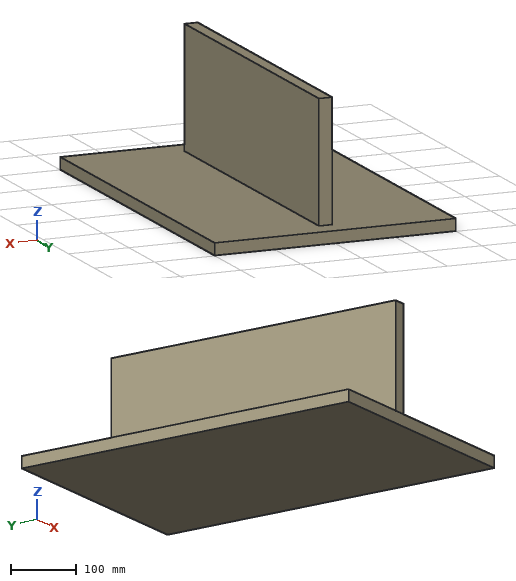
import cadquery as cq

PLATE_WIDTH = 400.0
PLATE_LENGTH = 600.0
PLATE_THICKNESS = 20.0

WEB_THICKNESS = 22.0
WEB_LENGTH = 522.0
WEB_HEIGHT = 200.0
WEB_FRONT_SETBACK = 40.25


def make_base_plate():
    return cq.Workplane("XY").box(
        PLATE_WIDTH, PLATE_LENGTH, PLATE_THICKNESS, centered=(True, True, False)
    )


def make_web():
    web_start_y = -PLATE_LENGTH / 2 + WEB_FRONT_SETBACK
    return (
        cq.Workplane("XY")
        .box(WEB_THICKNESS, WEB_LENGTH, WEB_HEIGHT, centered=(True, False, False))
        .translate((0, web_start_y, PLATE_THICKNESS))
    )


base_plate = make_base_plate()
web = make_web()

result = cq.Compound.makeCompound([base_plate.val(), web.val()])